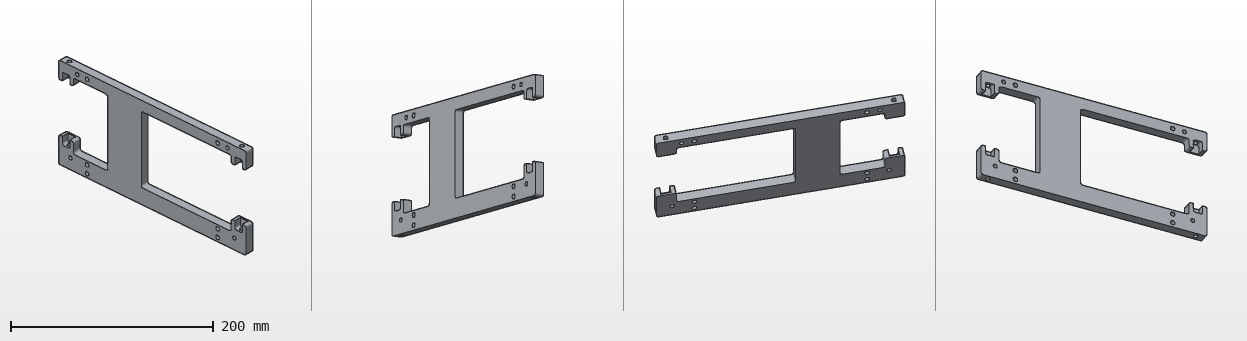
import cadquery as cq

length = 250.0
thickness = 10.0
height = 122.0
right = length / 2
top = height / 2
bottom = -top

upper_bar_height = 13.0
lower_bar_height = 20.0
upper_prong_height = 22.5
lower_prong_height = 34.5
prong_width = 20.0
web_start = 65.2
web_width = 45.0
outer_radius = 2.5
prong_tip_radius = 2.5
window_radius = 2.5

pocket_width = 10.0
pocket_height = 10.0
pocket_depth = 8.0
pocket_radius = 2.0

large_hole_diameter = 4.8
small_hole_diameter = 4.2
prong_hole_diameter = 4.5
large_hole_inset = 38.0
upper_small_hole_inset = 25.0
lower_small_hole_inset = 15.8
upper_hole_drop = upper_bar_height / 2
lower_large_hole_rises = (5.0, 15.2)
lower_small_hole_rise = 14.0

window_top = top - upper_bar_height
window_bottom = bottom + lower_bar_height
upper_tip = top - upper_prong_height
lower_tip = bottom + lower_prong_height
prong_center = right - prong_width / 2
web_left = -right + web_start
web_right = web_left + web_width


def block(x_min, x_max, z_min, z_max):
    """Full-thickness block spanning the given X and Z ranges."""
    return cq.Workplane("XY").box(x_max - x_min, thickness, z_max - z_min).translate(
        ((x_min + x_max) / 2, 0, (z_min + z_max) / 2)
    )


def round_corners(body, corners, radius):
    """Fillet the edges along Y that pass through the given (x, z) corners."""
    for x, z in corners:
        body = body.edges(cq.selectors.NearestToPointSelector((x, 0, z))).fillet(radius)
    return body


def make_frame():
    """Plate with two side windows, each partly closed by a pair of prongs."""
    frame = block(-right, right, bottom, top)
    prong_inner = right - prong_width
    for side, web_edge in ((-1, web_left), (1, web_right)):
        window_span = sorted((side * prong_inner, web_edge))
        mouth_span = sorted((side * right, side * prong_inner))
        frame = frame.cut(block(*window_span, window_bottom, window_top))
        frame = frame.cut(block(*mouth_span, lower_tip, upper_tip))

    for side, web_edge in ((-1, web_left), (1, web_right)):
        outer_corners = [(side * right, z) for z in (bottom, top)]
        tip_corners = [(side * x, z) for x in (prong_inner, right) for z in (lower_tip, upper_tip)]
        window_ends = (side * prong_inner, web_edge)
        window_corners = [(x, z) for x in window_ends for z in (window_bottom, window_top)]
        frame = round_corners(frame, outer_corners, outer_radius)
        frame = round_corners(frame, tip_corners, prong_tip_radius)
        frame = round_corners(frame, window_corners, window_radius)
    return frame


def make_pocket(x, tip, direction):
    """Pocket cutter running from a prong tip into the prong; direction is +1 up or -1 down."""
    pocket = cq.Workplane("XY").box(pocket_width, pocket_depth, pocket_height)
    end_face = ">Z" if direction > 0 else "<Z"
    pocket = pocket.faces(end_face).edges("|Y").fillet(pocket_radius)
    y = (pocket_depth - thickness) / 2
    return pocket.translate((x, y, tip + direction * pocket_height / 2))


def drill_front(body, inset, z, diameter):
    """Pair of mirrored holes through the thickness."""
    points = [(side * (right - inset), z) for side in (-1, 1)]
    drills = cq.Workplane("XZ").pushPoints(points).circle(diameter / 2).extrude(thickness, both=True)
    return body.cut(drills)


result = make_frame()

for prong_side in (-1, 1):
    result = result.cut(make_pocket(prong_side * prong_center, upper_tip, 1))
    result = result.cut(make_pocket(prong_side * prong_center, lower_tip, -1))

result = drill_front(result, large_hole_inset, top - upper_hole_drop, large_hole_diameter)
result = drill_front(result, upper_small_hole_inset, top - upper_hole_drop, small_hole_diameter)
result = drill_front(result, lower_small_hole_inset, bottom + lower_small_hole_rise, small_hole_diameter)
for rise in lower_large_hole_rises:
    result = drill_front(result, large_hole_inset, bottom + rise, large_hole_diameter)

prong_drills = (
    cq.Workplane("XY")
    .pushPoints([(-prong_center, 0), (prong_center, 0)])
    .circle(prong_hole_diameter / 2)
    .extrude(height, both=True)
)
result = result.cut(prong_drills)